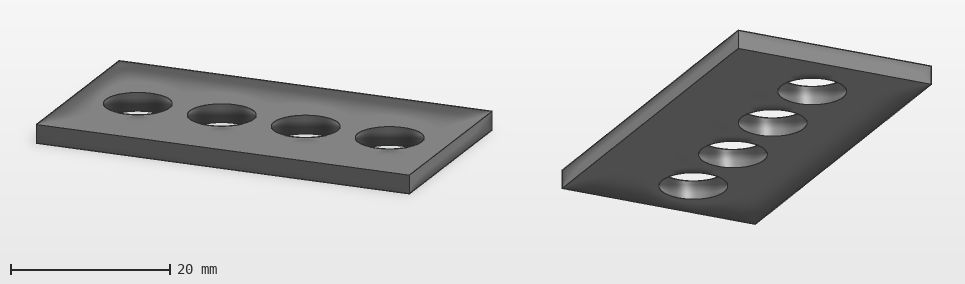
import cadquery as cq

length = 50.8
width = 26.9
thickness = 2.5

hole_count = 4
hole_diameter = 8.65
hole_pitch = 11.45
row_offset_x = 0.35
row_offset_y = -1.0

plate = cq.Workplane("XY").box(length, width, thickness)

result = (
    plate.faces(">Z")
    .workplane(origin=(row_offset_x, row_offset_y, 0))
    .rarray(hole_pitch, 0.5, hole_count, 1)
    .hole(hole_diameter)
)